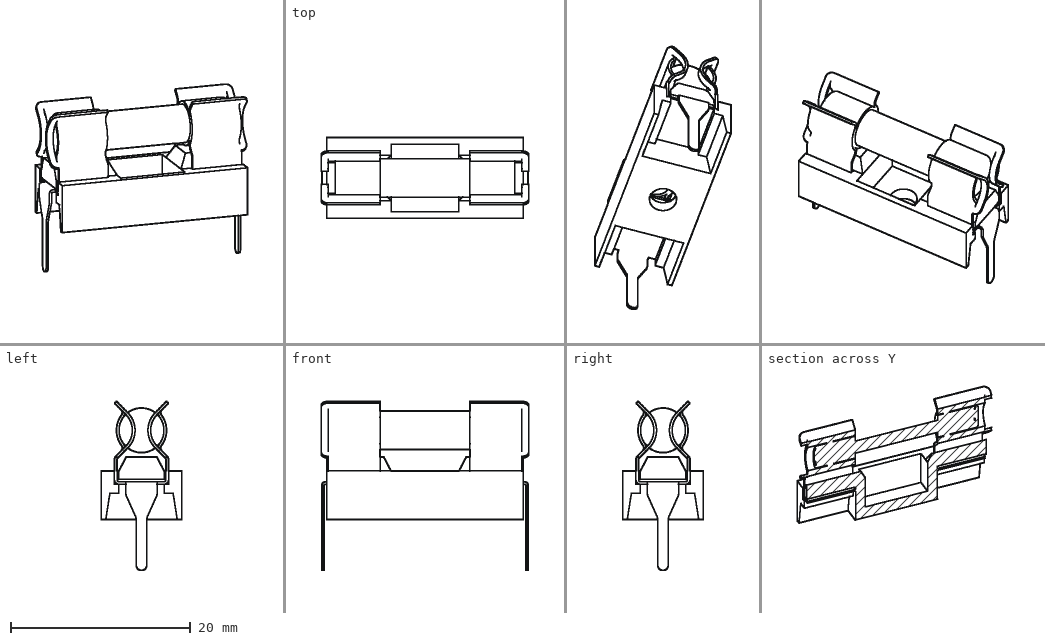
import cadquery as cq
import math

HOUSING_LENGTH = 21.9
HOUSING_WIDTH = 9.0
HOUSING_HEIGHT = 5.45
POCKET_LENGTH = 7.55
POCKET_WIDTH = 7.5
POCKET_FLOOR = 1.5
SCREW_HOLE_DIAMETER = 3.0

CAVITY_WIDTH_BOTTOM = 7.97
CAVITY_WIDTH_TOP = 7.05
CAVITY_TOP = 2.96
CHANNEL_WIDTH = 5.05

BLOCK_WIDTH = CHANNEL_WIDTH
BLOCK_BOTTOM = 4.5
BLOCK_TOP = 7.0
BLOCK_SLOPE_RUN = 0.8

FUSE_LENGTH = 20.0
FUSE_AXIS_Z = 9.95
CAP_LENGTH = 5.0
CAP_DIAMETER = 5.0
CAP_EDGE_RADIUS = 0.3
GLASS_DIAMETER = 4.3

SHEET = 0.3
CLIP_WIDTH = 6.02
CLIP_FLOOR = 3.94
CLIP_OUTER_X = 10.8
CLIP_INNER_X = FUSE_LENGTH / 2 - CAP_LENGTH
BEND_RADIUS = 0.2
NECK_BEND_RADIUS = 0.5
SLOPE_CROSSING = 0.23
LIP_REACH = 2.9
STOP_OUTER_X = 11.58
STOP_CORNER_RADIUS = 0.75

PIN_OUTER_X = 11.49
PIN_THICKNESS = 0.25
PIN_BEND_INNER_RADIUS = 0.1
PIN_BEND_OUTER_RADIUS = 0.4
PIN_TAB_WIDTH = 3.47
PIN_WIDTH = 1.2
PIN_TAPER_TOP = 2.75
PIN_TAPER_BOTTOM = 0.23
PIN_TIP_Z = -5.65
PIN_SHOULDER_RADIUS = 0.5
PIN_NECK_RADIUS = 0.75

HOUSING_END_X = HOUSING_LENGTH / 2
POCKET_END_X = POCKET_LENGTH / 2
HALF_SHEET = SHEET / 2
JOIN_TOLERANCE = 0.002


def extrude_along_x(profile, start_x, end_x):
    """Extrude a YZ profile between two X positions."""
    return profile.extrude(end_x - start_x).translate((start_x, 0, 0))


def box_between(x_range, width, z_range):
    """Box centred on Y between two X and two Z positions."""
    length = x_range[1] - x_range[0]
    height = z_range[1] - z_range[0]
    box = cq.Workplane("XY").box(length, width, height, centered=(False, True, False))
    return box.translate((x_range[0], 0, z_range[0]))


def both_ends(solid):
    """The solid at the +X end together with its mirror image at the -X end."""
    return solid.union(solid.mirror("YZ"))


def make_housing():
    bar = box_between((-HOUSING_END_X, HOUSING_END_X), HOUSING_WIDTH, (0, HOUSING_HEIGHT))
    pocket = box_between((-POCKET_END_X, POCKET_END_X), POCKET_WIDTH, (POCKET_FLOOR, HOUSING_HEIGHT))
    screw_hole = cq.Workplane("XY").circle(SCREW_HOLE_DIAMETER / 2).extrude(POCKET_FLOOR)
    slot_x = (CLIP_INNER_X, HOUSING_END_X)
    slot = box_between(slot_x, CLIP_WIDTH, (CLIP_FLOOR, HOUSING_HEIGHT))
    channel = box_between(slot_x, CHANNEL_WIDTH, (CAVITY_TOP, CLIP_FLOOR))
    cavity_profile = cq.Workplane("YZ").polyline([
        (-CAVITY_WIDTH_BOTTOM / 2, 0),
        (CAVITY_WIDTH_BOTTOM / 2, 0),
        (CAVITY_WIDTH_TOP / 2, CAVITY_TOP),
        (-CAVITY_WIDTH_TOP / 2, CAVITY_TOP),
    ]).close()
    cavity = extrude_along_x(cavity_profile, *slot_x)
    hollow = slot.union(channel).union(cavity)
    return bar.cut(pocket).cut(screw_hole).cut(both_ends(hollow)).union(both_ends(make_block()))


def make_block():
    """Block between the clip legs, sloped on its two sides and its inner end."""
    half_width = BLOCK_WIDTH / 2
    end_profile = cq.Workplane("YZ").polyline([
        (-half_width, BLOCK_BOTTOM),
        (half_width, BLOCK_BOTTOM),
        (half_width, HOUSING_HEIGHT),
        (half_width - BLOCK_SLOPE_RUN, BLOCK_TOP),
        (-half_width + BLOCK_SLOPE_RUN, BLOCK_TOP),
        (-half_width, HOUSING_HEIGHT),
    ]).close()
    side_profile = cq.Workplane("XZ").polyline([
        (POCKET_END_X, BLOCK_BOTTOM),
        (HOUSING_END_X, BLOCK_BOTTOM),
        (HOUSING_END_X, BLOCK_TOP),
        (POCKET_END_X + BLOCK_SLOPE_RUN, BLOCK_TOP),
        (POCKET_END_X, HOUSING_HEIGHT),
    ]).close()
    side_prism = side_profile.extrude(half_width, both=True)
    return extrude_along_x(end_profile, POCKET_END_X, HOUSING_END_X).intersect(side_prism)


def make_fuse():
    half_length = FUSE_LENGTH / 2
    glass = cq.Workplane("YZ").circle(GLASS_DIAMETER / 2).extrude(half_length - CAP_LENGTH, both=True)
    cap = extrude_along_x(cq.Workplane("YZ").circle(CAP_DIAMETER / 2), CLIP_INNER_X, half_length)
    cap = cap.faces(">X").edges().fillet(CAP_EDGE_RADIUS)
    return glass.union(both_ends(cap)).translate((0, 0, FUSE_AXIS_Z))


def bend_points(bend, offset):
    """Start, middle and end of a bend, moved by offset to the left of the sheet's mid line."""
    center, radius, start, end = bend
    turn_left = 1 if end > start else -1
    side_radius = radius - turn_left * offset
    points = []
    for angle in (start, (start + end) / 2, end):
        turn = math.radians(angle)
        points.append((center[0] + side_radius * math.cos(turn), center[1] + side_radius * math.sin(turn)))
    return points


def sheet_profile(first, bends, last):
    """YZ outline of bent sheet; first and last hold its left and right end corners."""
    left_side = [bend_points(bend, HALF_SHEET) for bend in bends]
    right_side = [bend_points(bend, -HALF_SHEET)[::-1] for bend in reversed(bends)]
    profile = cq.Workplane("YZ").moveTo(*first[0])
    reached = first[0]
    for corners, arcs in ((last, left_side), ((first[1],), right_side)):
        for start, middle, end in arcs:
            if math.dist(reached, start) > JOIN_TOLERANCE:
                profile = profile.lineTo(*start)
            profile = profile.threePointArc(middle, end)
            reached = end
        for corner in corners:
            if math.dist(reached, corner) > JOIN_TOLERANCE:
                profile = profile.lineTo(*corner)
            reached = corner
    return profile.close()


SLOPE_ANGLE = 45
DIAGONAL = math.sin(math.radians(SLOPE_ANGLE))
ARM_Y = CLIP_WIDTH / 2 - HALF_SHEET
FLOOR_Z = CLIP_FLOOR + HALF_SHEET
GRIP_RADIUS = CAP_DIAMETER / 2 + HALF_SHEET
NECK_RADIUS = NECK_BEND_RADIUS + HALF_SHEET
BEND_MID_RADIUS = BEND_RADIUS + HALF_SHEET

shoulder_setback = BEND_MID_RADIUS * math.tan(math.radians(SLOPE_ANGLE / 2))
shoulder_z = FUSE_AXIS_Z - SLOPE_CROSSING - ARM_Y - shoulder_setback
corner_bend = ((ARM_Y - BEND_MID_RADIUS, FLOOR_Z + BEND_MID_RADIUS), BEND_MID_RADIUS, -90, 0)
shoulder_bend = ((ARM_Y - BEND_MID_RADIUS, shoulder_z), BEND_MID_RADIUS, 0, SLOPE_ANGLE)

neck_distance = GRIP_RADIUS + NECK_RADIUS
neck_slant = math.degrees(math.asin((NECK_RADIUS - SLOPE_CROSSING * DIAGONAL) / neck_distance))
neck_angle = SLOPE_ANGLE - neck_slant
neck_y = neck_distance * math.cos(math.radians(neck_angle))
neck_rise = neck_distance * math.sin(math.radians(neck_angle))
lower_neck = ((neck_y, FUSE_AXIS_Z - neck_rise), NECK_RADIUS, 180 + SLOPE_ANGLE, 180 - neck_angle)
grip_bend = ((0, FUSE_AXIS_Z), GRIP_RADIUS, -neck_angle, neck_angle)
upper_neck = ((neck_y, FUSE_AXIS_Z + neck_rise), NECK_RADIUS, 180 + neck_angle, 180 - SLOPE_ANGLE)

stop_center_y = GRIP_RADIUS / DIAGONAL - SLOPE_CROSSING
stop_bend = ((stop_center_y, FUSE_AXIS_Z), GRIP_RADIUS, 180 + SLOPE_ANGLE, 180 - SLOPE_ANGLE)

corner_shift = HALF_SHEET * DIAGONAL
lip_z = FUSE_AXIS_Z + SLOPE_CROSSING + LIP_REACH
LIP_END = (
    (LIP_REACH - corner_shift, lip_z + corner_shift),
    (LIP_REACH + corner_shift, lip_z - corner_shift),
)
FLOOR_START = ((0, CLIP_FLOOR + SHEET), (0, CLIP_FLOOR))


def make_clip():
    """Clip at the +X end: arms that grip the cap, end stops beyond the cap, and the pin."""
    grip_bends = [corner_bend, shoulder_bend, lower_neck, grip_bend, upper_neck]
    grip_profile = sheet_profile(FLOOR_START, grip_bends, LIP_END)
    grip = extrude_along_x(grip_profile, CLIP_INNER_X, CLIP_OUTER_X)

    stop_foot = (bend_points(shoulder_bend, HALF_SHEET)[2], bend_points(shoulder_bend, -HALF_SHEET)[2])
    stop = extrude_along_x(sheet_profile(stop_foot, [stop_bend], LIP_END), CLIP_OUTER_X, STOP_OUTER_X)
    for end in (stop_foot, LIP_END):
        middle_y = (end[0][0] + end[1][0]) / 2
        middle_z = (end[0][1] + end[1][1]) / 2
        corner = cq.selectors.NearestToPointSelector((STOP_OUTER_X, middle_y, middle_z))
        stop = stop.edges(corner).fillet(STOP_CORNER_RADIUS)

    arm = grip.union(stop)
    return arm.union(arm.mirror("XZ")).union(make_pin())


def make_pin():
    """Tab from the clip floor, bent down and tapered to a round-ended pin."""
    tab_top = CLIP_FLOOR + SHEET
    pin_inner_x = PIN_OUTER_X - PIN_THICKNESS
    strip = (
        cq.Workplane("XZ")
        .moveTo(CLIP_OUTER_X, tab_top)
        .lineTo(PIN_OUTER_X, tab_top)
        .lineTo(PIN_OUTER_X, PIN_TIP_Z)
        .lineTo(pin_inner_x, PIN_TIP_Z)
        .lineTo(pin_inner_x, CLIP_FLOOR)
        .lineTo(CLIP_OUTER_X, CLIP_FLOOR)
        .close()
        .extrude(PIN_TAB_WIDTH / 2, both=True)
    )
    inside_corner = cq.selectors.NearestToPointSelector((pin_inner_x, 0, CLIP_FLOOR))
    outside_corner = cq.selectors.NearestToPointSelector((PIN_OUTER_X, 0, tab_top))
    strip = strip.edges(inside_corner).fillet(PIN_BEND_INNER_RADIUS)
    strip = strip.edges(outside_corner).fillet(PIN_BEND_OUTER_RADIUS)

    half_tab = PIN_TAB_WIDTH / 2
    half_pin = PIN_WIDTH / 2
    tip_start = PIN_TIP_Z + half_pin
    outline = (
        cq.Workplane("YZ")
        .moveTo(-half_tab, tab_top)
        .lineTo(-half_tab, PIN_TAPER_TOP)
        .lineTo(-half_pin, PIN_TAPER_BOTTOM)
        .lineTo(-half_pin, tip_start)
        .threePointArc((0, PIN_TIP_Z), (half_pin, tip_start))
        .lineTo(half_pin, PIN_TAPER_BOTTOM)
        .lineTo(half_tab, PIN_TAPER_TOP)
        .lineTo(half_tab, tab_top)
        .close()
    )
    blank = extrude_along_x(outline, CLIP_OUTER_X, PIN_OUTER_X)
    middle_x = (CLIP_OUTER_X + PIN_OUTER_X) / 2
    for side in (-1, 1):
        shoulder = cq.selectors.NearestToPointSelector((middle_x, side * half_tab, PIN_TAPER_TOP))
        blank = blank.edges(shoulder).fillet(PIN_SHOULDER_RADIUS)
        neck = cq.selectors.NearestToPointSelector((middle_x, side * half_pin, PIN_TAPER_BOTTOM))
        blank = blank.edges(neck).fillet(PIN_NECK_RADIUS)
    return strip.intersect(blank)


holder = make_housing().union(both_ends(make_clip())).union(make_fuse())
result = cq.Workplane(holder.solids().val())